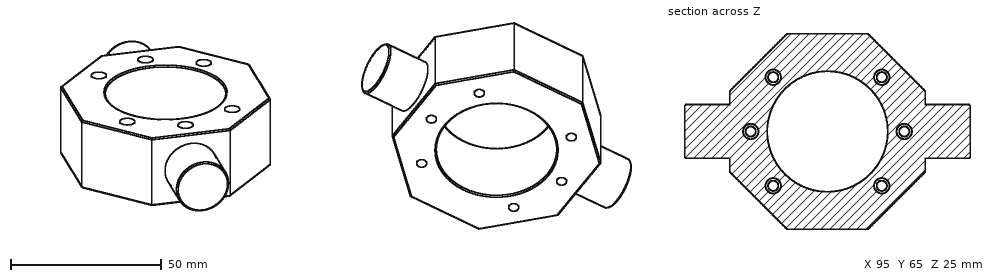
import cadquery as cq
import math

overall_length = 95.0
side_count = 8
body_width = 65.0
body_height = 25.0
edge_break = 0.5
bore_diameter = 40.0
trunnion_diameter = 18.0
bolt_circle_diameter = 51.0
bolt_hole_diameter = 3.3
counterbore_diameter = 5.0
counterbore_depth = body_height / 2
seat_angle = 118.0
bolt_angles = (0, 45, 135, 180, 225, 315)

corner_diameter = body_width / math.cos(math.pi / side_count)
top_z = body_height / 2


def make_body():
    """Regular octagonal block with flats facing X and Y."""
    return (
        cq.Workplane("XY")
        .workplane(offset=-top_z)
        .transformed(rotate=(0, 0, 180 / side_count))
        .polygon(side_count, corner_diameter)
        .extrude(body_height)
        .faces("<Z or >Z")
        .chamfer(edge_break)
    )


def make_trunnions():
    """One shaft along X whose ends stand out from both sides."""
    return (
        cq.Workplane("YZ")
        .circle(trunnion_diameter / 2)
        .extrude(overall_length / 2, both=True)
        .faces("<X or >X")
        .chamfer(edge_break)
    )


def make_bore():
    """Through bore, flared by the edge break at both mouths."""
    bore_radius = bore_diameter / 2
    flare_radius = bore_radius + edge_break
    return (
        cq.Workplane("XZ")
        .moveTo(0, -top_z)
        .lineTo(flare_radius, -top_z)
        .lineTo(bore_radius, -top_z + edge_break)
        .lineTo(bore_radius, top_z - edge_break)
        .lineTo(flare_radius, top_z)
        .lineTo(0, top_z)
        .close()
        .revolve(360, (0, 0, 0), (0, 1, 0))
    )


def make_bolt_hole():
    """Stepped hole on the Z axis: straight counterbore, conical seat, through hole."""
    hole_radius = bolt_hole_diameter / 2
    counterbore_radius = counterbore_diameter / 2
    seat_top_z = top_z - counterbore_depth
    seat_height = (counterbore_radius - hole_radius) / math.tan(math.radians(seat_angle / 2))
    return (
        cq.Workplane("XZ")
        .moveTo(0, -top_z)
        .lineTo(hole_radius, -top_z)
        .lineTo(hole_radius, seat_top_z - seat_height)
        .lineTo(counterbore_radius, seat_top_z)
        .lineTo(counterbore_radius, top_z)
        .lineTo(0, top_z)
        .close()
        .revolve(360, (0, 0, 0), (0, 1, 0))
    )


def drill_bolt_holes(part):
    """Cut one stepped hole at each angle of the bolt circle."""
    hole = make_bolt_hole().translate((bolt_circle_diameter / 2, 0, 0))
    for angle in bolt_angles:
        part = part.cut(hole.rotate((0, 0, 0), (0, 0, 1), angle))
    return part


result = drill_bolt_holes(make_body().union(make_trunnions()).cut(make_bore()))